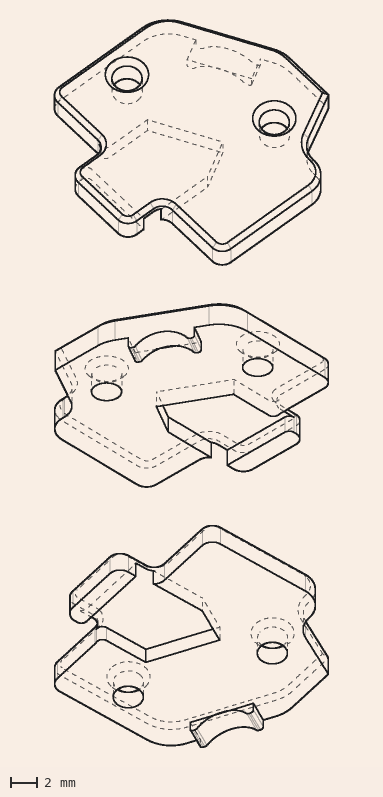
import cadquery as cq
import math


width = 20.0
length = 19.78
plate_thickness = 2.2
top_chamfer = 0.4
body_start = 3.72
shoulder_y = 14.92
top_edge_left = -1.28
top_edge_right = 4.05
right_slope_end = 6.65
slope_angle = math.degrees(math.atan2(length - shoulder_y, top_edge_left + width / 2))
slope_corner_radius = 3.0
shoulder_radius = 2.0
small_radius = 1.0

tab_width = 6.65

screw_diameter = 2.3
countersink_diameter = 3.3
countersink_angle = 90.0
screw_centers = [(-7.25, 9.22), (3.2, 15.02)]

pocket_width = 7.0
pocket_depth = 1.42
pocket_start = 1.75
pocket_side_end = 8.0
mouth_radius = 0.5

saddle_length = 5.25
saddle_width = 1.95
saddle_height = 0.95
saddle_offset = 5.52
saddle_edge_radius = 0.25
groove_radius = 2.7
groove_rise = 0.08


def rounded_outline_plate():
    """Plate with every corner rounded except the sharp one at the far right."""
    side = width / 2
    tab_side = tab_width / 2
    corners = [
        (-tab_side, 0, small_radius),
        (tab_side, 0, small_radius),
        (tab_side, body_start, small_radius),
        (side, body_start, small_radius),
        (side, shoulder_y, shoulder_radius),
        (right_slope_end, shoulder_y, shoulder_radius),
        (top_edge_right, length, 0),
        (top_edge_left, length, slope_corner_radius),
        (-side, shoulder_y, slope_corner_radius),
        (-side, body_start, small_radius),
        (-tab_side, body_start, small_radius),
    ]
    points = [(x, y) for x, y, _ in corners]
    plate = cq.Workplane("XY").polyline(points).close().extrude(plate_thickness)
    for x, y, radius in corners:
        if radius > 0:
            corner_edge = cq.selectors.NearestToPointSelector((x, y, plate_thickness / 2))
            plate = plate.edges("|Z").edges(corner_edge).fillet(radius)
    return plate.faces(">Z").chamfer(top_chamfer)


def pocket():
    """Pocket whose inner end is a gable with walls along and square to the long slope."""
    side = pocket_width / 2
    angle = math.radians(slope_angle)
    left_wall = pocket_width * math.cos(angle)
    apex = (-side + left_wall * math.cos(angle), pocket_side_end + left_wall * math.sin(angle))
    return (
        cq.Workplane("XY")
        .moveTo(-side, pocket_start)
        .lineTo(side, pocket_start)
        .lineTo(side, pocket_side_end)
        .lineTo(*apex)
        .lineTo(-side, pocket_side_end)
        .close()
        .extrude(pocket_depth)
    )


def mouth_cut():
    """Flared left mouth: one lip rounds into the tab root, the other into the tab side."""
    wall_x = -pocket_width / 2
    tab_x = -tab_width / 2
    root_x = tab_x - small_radius
    root_y = body_start - small_radius
    lip_x = wall_x - mouth_radius
    reach = small_radius + mouth_radius
    lip_y = root_y + math.sqrt(reach**2 - (lip_x - root_x) ** 2)
    touch_x = root_x + (lip_x - root_x) * small_radius / reach
    touch_y = root_y + (lip_y - root_y) * small_radius / reach
    upper_lip = (
        cq.Workplane("XY")
        .moveTo(touch_x, touch_y)
        .radiusArc((wall_x, lip_y), -mouth_radius)
        .lineTo(wall_x, root_y)
        .lineTo(touch_x, root_y)
        .close()
        .extrude(pocket_depth)
    )
    lower_lip = (
        cq.Workplane("XY")
        .moveTo(tab_x, pocket_start - mouth_radius)
        .radiusArc((tab_x + mouth_radius, pocket_start), mouth_radius)
        .lineTo(tab_x, pocket_start)
        .close()
        .extrude(pocket_depth)
    )
    return upper_lip.union(lower_lip)


def along_slope(shape):
    """Move a shape from local axes (X along the slope, Y outward) to the long slope."""
    return shape.rotate((0, 0, 0), (0, 0, 1), slope_angle).translate((-width / 2, shoulder_y, 0))


def groove():
    """Cylinder across the saddle, in slope axes."""
    return (
        cq.Workplane("XZ")
        .center(saddle_offset, groove_rise - groove_radius)
        .circle(groove_radius)
        .extrude(saddle_width)
    )


def saddle():
    """Block flush with the long slope, arched across by the groove."""
    block = (
        cq.Workplane("XY")
        .box(saddle_length, saddle_width, saddle_height, centered=(True, False, False))
        .translate((saddle_offset, -saddle_width, -saddle_height))
    )
    return block.cut(groove()).faces("<Z").edges("|Y").fillet(saddle_edge_radius)


plate = rounded_outline_plate().cut(pocket()).cut(mouth_cut())
plate = plate.cut(along_slope(groove())).union(along_slope(saddle()))
result = (
    plate.faces(">Z")
    .workplane(origin=(0, 0, plate_thickness))
    .pushPoints(screw_centers)
    .cskHole(screw_diameter, countersink_diameter, countersink_angle)
)